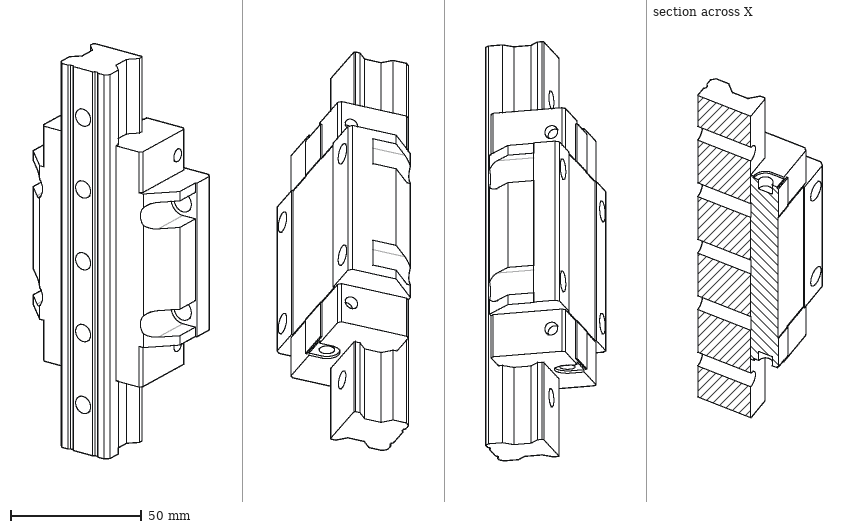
import cadquery as cq


RAIL_LENGTH = 160.0
RAIL_HALF_WIDTH = 11.5
RAIL_WAIST_HALF_WIDTH = 8.0
RAIL_HEIGHT = 23.5
RAIL_FOOT_CHAMFER = 1.6
RAIL_HEAD_CHAMFER = 0.5
RAIL_FLANK_SLOPE = RAIL_HALF_WIDTH - RAIL_WAIST_HALF_WIDTH
RAIL_FOOT_TOP = 7.2
RAIL_HEAD_BOTTOM = 21.1

GROOVE_DEPTH = 0.6
GROOVE_INNER_EDGE = 4.5
GROOVE_OUTER_EDGE = 7.0

RAIL_HOLE_DIAMETER = 7.0
RAIL_HOLE_PITCH = 30.0
RAIL_HOLE_COUNT = 5

BLOCK_SPAN = 64.0
BLOCK_HALF_WIDTH = 35.0
CARRIAGE_BOTTOM = 5.6
BLOCK_TOP = 36.0
BLOCK_TOP_CHAMFER = 1.5
FLANGE_BEVEL = 10.7
RELIEF_DEPTH = 0.5
RELIEF_HALF_WIDTH = 19.7

MOUNT_HALF_SPACING_X = 28.5
MOUNT_HALF_SPACING_Z = 22.5
MOUNT_HOLE_DIAMETER = 8.0
MOUNT_POCKET_WIDTH = 11.0
MOUNT_POCKET_FLOOR = 26.0
UNDERCUT_DEPTH = 0.6

CAP_OUTER_SPAN = 98.0
CAP_LENGTH = (CAP_OUTER_SPAN - BLOCK_SPAN) / 2
CAP_HALF_WIDTH = 23.4
CAP_TOP = 35.2
CAP_CHAMFER = 1.1
PAD_DROP = 0.24
PAD_TOP = BLOCK_TOP - PAD_DROP
PAD_EMBED = 1.6
PAD_WIDTH = 14.4
PAD_LENGTH = 15.2

PORT_HEIGHT = 30.0
PORT_DEPTH = 4.8
END_PORT_DIAMETER = 6.0
END_RECESS_WIDTH = 10.0
END_RECESS_DEPTH = 1.0
SIDE_PORT_DIAMETER = 5.1
SIDE_PORT_Z = 39.5


def extrude_outline(points, span):
    """Extrude an XY outline along Z, centred on Z = 0."""
    return cq.Workplane("XY").polyline(points).close().extrude(span / 2, both=True)


def box_between(x_range, y_range, z_range):
    """Box with the given limits along each axis."""
    (x0, x1), (y0, y1), (z0, z1) = x_range, y_range, z_range
    return cq.Workplane("XY").box(x1 - x0, y1 - y0, z1 - z0, centered=False).translate((x0, y0, z0))


def cylinder(centre, direction, diameter, length):
    """Cylinder starting at centre and running along direction."""
    return cq.Workplane(
        cq.Solid.makeCylinder(diameter / 2, length, cq.Vector(*centre), cq.Vector(*direction))
    )


def mirror_outline(right_side):
    """Close a right-hand outline, listed from bottom to top, with its mirror image across X = 0."""
    return right_side + [(-x, y) for x, y in reversed(right_side)]


def rail_bar():
    """Plain rail section over its full length, without grooves or holes."""
    right_side = [
        (RAIL_HALF_WIDTH - RAIL_FOOT_CHAMFER, 0),
        (RAIL_HALF_WIDTH, RAIL_FOOT_CHAMFER),
        (RAIL_HALF_WIDTH, RAIL_FOOT_TOP),
        (RAIL_WAIST_HALF_WIDTH, RAIL_FOOT_TOP + RAIL_FLANK_SLOPE),
        (RAIL_WAIST_HALF_WIDTH, RAIL_HEAD_BOTTOM - RAIL_FLANK_SLOPE),
        (RAIL_HALF_WIDTH, RAIL_HEAD_BOTTOM),
        (RAIL_HALF_WIDTH, RAIL_HEIGHT - RAIL_HEAD_CHAMFER),
        (RAIL_HALF_WIDTH - RAIL_HEAD_CHAMFER, RAIL_HEIGHT),
    ]
    return extrude_outline(mirror_outline(right_side), RAIL_LENGTH)


def make_rail():
    """Rail with two shallow grooves in its mounting face and a row of bolt holes."""
    rail = rail_bar()
    for side in (-1, 1):
        groove = [
            (side * GROOVE_INNER_EDGE, 0),
            (side * (GROOVE_INNER_EDGE + GROOVE_DEPTH), GROOVE_DEPTH),
            (side * (GROOVE_OUTER_EDGE - GROOVE_DEPTH), GROOVE_DEPTH),
            (side * GROOVE_OUTER_EDGE, 0),
        ]
        rail = rail.cut(extrude_outline(groove, RAIL_LENGTH))
    for index in range(RAIL_HOLE_COUNT):
        z = (index - (RAIL_HOLE_COUNT - 1) / 2) * RAIL_HOLE_PITCH
        rail = rail.cut(cylinder((0, 0, z), (0, 1, 0), RAIL_HOLE_DIAMETER, RAIL_HEIGHT))
    return rail


def carriage_block():
    """Middle block with bevelled flanges, the top relief and the +X undercut."""
    bevel_top = CARRIAGE_BOTTOM + FLANGE_BEVEL
    right_side = [
        (BLOCK_HALF_WIDTH - FLANGE_BEVEL, CARRIAGE_BOTTOM),
        (BLOCK_HALF_WIDTH, bevel_top),
        (BLOCK_HALF_WIDTH, BLOCK_TOP - BLOCK_TOP_CHAMFER),
        (BLOCK_HALF_WIDTH - BLOCK_TOP_CHAMFER, BLOCK_TOP),
    ]
    block = extrude_outline(mirror_outline(right_side), BLOCK_SPAN)
    z_range = (-BLOCK_SPAN / 2, BLOCK_SPAN / 2)
    relief = box_between(
        (-RELIEF_HALF_WIDTH, RELIEF_HALF_WIDTH), (BLOCK_TOP - RELIEF_DEPTH, BLOCK_TOP), z_range
    )
    undercut = box_between(
        (BLOCK_HALF_WIDTH - UNDERCUT_DEPTH, BLOCK_HALF_WIDTH), (CARRIAGE_BOTTOM, MOUNT_POCKET_FLOOR), z_range
    )
    return block.cut(relief).cut(undercut)


def mounting_cut(side, z):
    """Flange hole and the round-ended pocket below it, open towards the outer side."""
    x = side * MOUNT_HALF_SPACING_X
    outer_x = side * BLOCK_HALF_WIDTH
    pocket_height = MOUNT_POCKET_FLOOR - CARRIAGE_BOTTOM
    hole = cylinder((x, CARRIAGE_BOTTOM, z), (0, 1, 0), MOUNT_HOLE_DIAMETER, BLOCK_TOP - CARRIAGE_BOTTOM)
    round_end = cylinder((x, CARRIAGE_BOTTOM, z), (0, 1, 0), MOUNT_POCKET_WIDTH, pocket_height)
    open_end = box_between(
        (min(x, outer_x), max(x, outer_x)),
        (CARRIAGE_BOTTOM, MOUNT_POCKET_FLOOR),
        (z - MOUNT_POCKET_WIDTH / 2, z + MOUNT_POCKET_WIDTH / 2),
    )
    return hole.union(round_end).union(open_end)


def end_cap():
    """Cap on the +Z end of the block, with its top pad and lubrication ports."""
    inner_z = BLOCK_SPAN / 2
    outer_z = inner_z + CAP_LENGTH
    cap = box_between((-CAP_HALF_WIDTH, CAP_HALF_WIDTH), (CARRIAGE_BOTTOM, CAP_TOP), (inner_z, outer_z))
    cap = cap.edges("|Z").chamfer(CAP_CHAMFER)
    pad = box_between(
        (-PAD_WIDTH / 2, PAD_WIDTH / 2), (CAP_TOP - PAD_EMBED, PAD_TOP), (inner_z, inner_z + PAD_LENGTH)
    )
    cap = cap.union(pad)

    recess_floor = outer_z - END_RECESS_DEPTH
    recess_round = cylinder((0, PORT_HEIGHT, recess_floor), (0, 0, 1), END_RECESS_WIDTH, END_RECESS_DEPTH)
    recess_open = box_between(
        (-END_RECESS_WIDTH / 2, END_RECESS_WIDTH / 2), (PORT_HEIGHT, CAP_TOP), (recess_floor, outer_z)
    )
    end_port = cylinder((0, PORT_HEIGHT, recess_floor), (0, 0, -1), END_PORT_DIAMETER, PORT_DEPTH)
    cap = cap.cut(recess_round).cut(recess_open).cut(end_port)

    for side in (-1, 1):
        start = (side * CAP_HALF_WIDTH, PORT_HEIGHT, SIDE_PORT_Z)
        cap = cap.cut(cylinder(start, (-side, 0, 0), SIDE_PORT_DIAMETER, PORT_DEPTH))
    return cap


def make_carriage():
    """Block and both end caps as one solid, with a channel that fits the rail."""
    carriage = carriage_block()
    for side in (-1, 1):
        for z in (-MOUNT_HALF_SPACING_Z, MOUNT_HALF_SPACING_Z):
            carriage = carriage.cut(mounting_cut(side, z))
    upper_cap = end_cap()
    lower_cap = upper_cap.mirror("XY")
    return carriage.union(upper_cap).union(lower_cap).cut(rail_bar())


rail = make_rail()
carriage = make_carriage()

result = cq.Compound.makeCompound([rail.val(), *carriage.vals()])